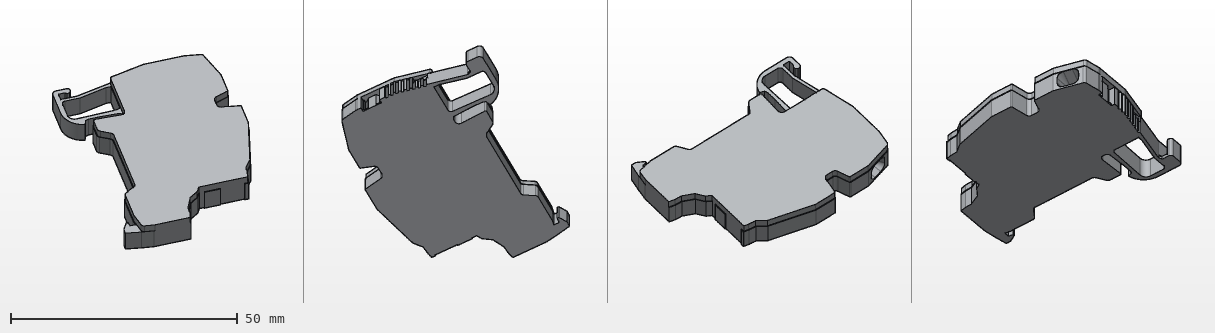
import cadquery as cq
import math

height = 6.75
cover_height = 1.8
base_height = height - cover_height
cover_setback = 0.17

length = 49.0
top_edge = 38.5
left_ear_top = 37.05
arm_root = 13.0
foot_level = 5.6
rail_level = 8.58
inner_wall = 40.42
inner_wall_top = 33.5

left_bend = 21.2
left_edge_top = 30.85
arm_bend = (3.6, 5.0)
left_slope = arm_bend[0] / (left_bend - arm_bend[1])

shoulder_low = (0.75, 34.95)
shoulder_high = (8.1, left_ear_top)


def left_edge(y):
    """X of the left outline at height y, between the arm bend and the shoulder."""
    return max(0.0, (left_bend - y) * left_slope)


def extrude_points(points, bottom, top):
    return cq.Workplane("XY").workplane(offset=bottom).polyline(points).close().extrude(top - bottom)


def block_between(left, right, low, high, bottom, top):
    return extrude_points([(left, low), (right, low), (right, high), (left, high)], bottom, top)


def round_corners(solid, corners, radius):
    """Round the vertical edges that stand on the given outline corners."""
    reach = 0.05
    for x, y in corners:
        selector = cq.selectors.BoxSelector((x - reach, y - reach, -0.5), (x + reach, y + reach, height + 0.5))
        solid = solid.edges("|Z").edges(selector).fillet(radius)
    return solid


recess_left = (left_edge(arm_root), arm_root)
recess_corner = (13.8, arm_root)
left_foot_outer = (13.48, foot_level)
left_foot_inner = (17.1, foot_level)
rail_left = (18.9, rail_level)
rail_right = (35.9, rail_level)
right_foot_inner = (37.8, foot_level)
right_foot_outer = (44.85, foot_level)
right_corner_low = (48.55, 6.35)
right_corner_high = (length, 9.15)
notch_right_low = (17.65, 33.4)
notch_left_low = (14.6, 33.4)
notch_right_high = (18.55, top_edge)
notch_left_high = (13.35, left_ear_top)
left_edge_start = (0.0, left_edge_top)
left_edge_end = (0.0, left_bend)

outline = [
    recess_left, recess_corner,
    left_foot_outer, left_foot_inner, rail_left, rail_right, right_foot_inner, right_foot_outer,
    right_corner_low, right_corner_high, (length, 17.7), (47.55, 18.05), (45.75, 18.15),
    (43.0, 19.45), (41.65, 21.45), (inner_wall, 22.2), (inner_wall, inner_wall_top),
    (39.3, 33.75), (37.45, 33.95), (35.4, 35.52), (24.15, top_edge),
    notch_right_high, notch_right_low, notch_left_low, notch_left_high,
    shoulder_high, shoulder_low, left_edge_start, left_edge_end,
]

outline_rounding = [
    (0.25, [notch_left_high, notch_right_high]),
    (0.35, [left_foot_outer]),
    (0.5, [recess_left]),
    (0.75, [shoulder_low, right_corner_low, left_edge_end]),
    (0.8, [rail_right, right_foot_inner]),
    (0.95, [notch_left_low, notch_right_low]),
    (1.05, [left_foot_inner, rail_left, recess_corner]),
    (1.95, [left_edge_start]),
]


def body(bottom, top):
    block = extrude_points(outline, bottom, top)
    for radius, corners in outline_rounding:
        block = round_corners(block, corners, radius)
    return block


def cover():
    plate = body(base_height, height)
    raised = plate.translate((0, cover_setback, 0))
    lowered = plate.translate((0, -cover_setback, 0))
    return raised.intersect(lowered)


clip_floor = 1.22
hook_left = 0.7
hook_top = 4.05
hook_slot_floor = 0.85
clip_overlap = 0.5


def spring_clip():
    root = arm_root + clip_overlap
    bottom_corner = (hook_left, 0.0)
    top_corner = (hook_left, hook_top)
    fillet_top = 12.05
    frame = (
        cq.Workplane("XY")
        .moveTo(left_edge(root), root)
        .lineTo(*arm_bend)
        .lineTo(arm_bend[0], hook_top)
        .lineTo(*top_corner)
        .lineTo(*bottom_corner)
        .lineTo(7.65, 0.0)
        .tangentArcPoint((12.65, 4.15), relative=False)
        .lineTo(11.5, 4.55)
        .lineTo(11.25, 5.35)
        .lineTo(11.25, 7.85)
        .lineTo(11.45, fillet_top)
        .threePointArc((11.7, 12.75), (12.35, arm_root))
        .lineTo(12.35, root)
        .close()
        .extrude(base_height)
    )
    frame = round_corners(frame, [bottom_corner], 1.05)
    frame = round_corners(frame, [top_corner], 0.7)

    window_low_left = (4.35, clip_floor)
    window_low_right = (10.45, clip_floor)
    window_high_right = (10.2, arm_root)
    window = extrude_points(
        [(2.9, arm_root), (2.9, 11.85), (4.35, 5.5), window_low_left, window_low_right, window_high_right],
        0, base_height)
    window = round_corners(window, [window_low_left, window_high_right], 0.8)
    window = round_corners(window, [window_low_right], 1.6)

    hook_slot = extrude_points(
        [(1.75, hook_top), (2.2, 3.65), (2.2, 3.1), (1.85, 2.7), (1.85, clip_floor),
         (arm_bend[0], clip_floor), (arm_bend[0], hook_top)],
        hook_slot_floor, base_height)

    web = extrude_points(
        [(3.3, hook_top), (arm_bend[0], hook_top), (arm_bend[0], 4.85)], 0, hook_slot_floor)
    return frame.cut(window).cut(hook_slot).union(web)


def right_catch():
    catch_side = 45.95
    catch_tip = 44.8
    catch_bottom = 2.9
    root_level = 7.35
    edge_lean = (right_corner_high[0] - right_corner_low[0]) / (right_corner_high[1] - right_corner_low[1])
    root_x = right_corner_low[0] + (root_level - right_corner_low[1]) * edge_lean
    return extrude_points(
        [right_corner_low, (root_x, root_level), (catch_side, root_level), (catch_side, 4.55),
         (catch_tip, 4.35), (catch_tip, 3.95), (46.65, catch_bottom), (47.85, catch_bottom)],
        0, base_height)


def wall_pads():
    pad_rise = 0.2
    left = inner_wall - pad_rise
    right = inner_wall + pad_rise
    lower_pad = block_between(left, right, 23.3, 27.0, 0, base_height)
    upper_pad = block_between(left, right, 32.6, inner_wall_top, 0, base_height)
    return lower_pad.add(upper_pad).combine()


recess_high = 29.7
recess_low = 25.15
recess_depth = 1.0
groove_depth = 0.65
upper_groove_top = 29.4
groove_floor = 0.5
outside = -0.5


def left_recess():
    recess = block_between(outside, recess_depth, recess_low, recess_high, 0, base_height)
    deep = recess_depth + groove_depth
    upper_groove = extrude_points(
        [(recess_depth, upper_groove_top), (deep, upper_groove_top), (deep, 29.05), (recess_depth, 28.3)],
        groove_floor, base_height)
    lower_groove = extrude_points(
        [(recess_depth, recess_low), (deep, recess_low), (deep, 25.95), (recess_depth, 26.45)],
        groove_floor, base_height)
    return recess.union(upper_groove).union(lower_groove)


block_end = 23.85
block_setback = 0.1
grip_top = 23.6
grip_bottom = 14.15
tooth_count = 8
tooth_land = 0.5
tooth_pitch = (grip_top - grip_bottom + tooth_land) / tooth_count
cut_depth = 0.4
root_flat = 0.45


def grip_cuts():
    cuts = block_between(outside, block_setback, block_end, recess_low, 0, base_height)
    for index in range(tooth_count):
        high = grip_top - index * tooth_pitch
        root_end = high - root_flat
        low = high - tooth_pitch + tooth_land
        cuts = cuts.add(extrude_points(
            [(outside, high), (left_edge(high) + cut_depth, high),
             (left_edge(root_end) + cut_depth, root_end), (left_edge(low), low), (outside, low)],
            0, base_height))
    return cuts.combine()


def grip_window():
    window_high = 17.3
    window_low = 13.95
    window_bottom = 3.2
    window_depth = 2.0
    return block_between(outside, window_depth, window_low, window_high, window_bottom, base_height)


def wire_entry():
    entry_length = 5.1
    entry_low = 0.5
    entry_high = 4.8
    entry_depth = 4.4
    entry_taper = 15
    corner_radius = 1.45
    shoulder_run = shoulder_high[0] - shoulder_low[0]
    shoulder_rise = shoulder_high[1] - shoulder_low[1]
    slope = math.atan2(shoulder_rise, shoulder_run)
    along = (math.cos(slope), math.sin(slope), 0)
    inward = (math.sin(slope), -math.cos(slope), 0)
    center_y = 36.05
    center_x = shoulder_low[0] + (center_y - shoulder_low[1]) / math.tan(slope)
    mouth = cq.Plane(origin=(center_x, center_y, (entry_low + entry_high) / 2), xDir=along, normal=inward)
    return (
        cq.Workplane(mouth)
        .sketch()
        .rect(entry_length, entry_high - entry_low)
        .vertices()
        .fillet(corner_radius)
        .finalize()
        .extrude(entry_depth, taper=entry_taper)
    )


base = body(0, base_height).union(spring_clip()).union(right_catch()).union(wall_pads())
base = base.cut(left_recess()).cut(grip_cuts()).cut(grip_window()).cut(wire_entry())
result = base.union(cover())